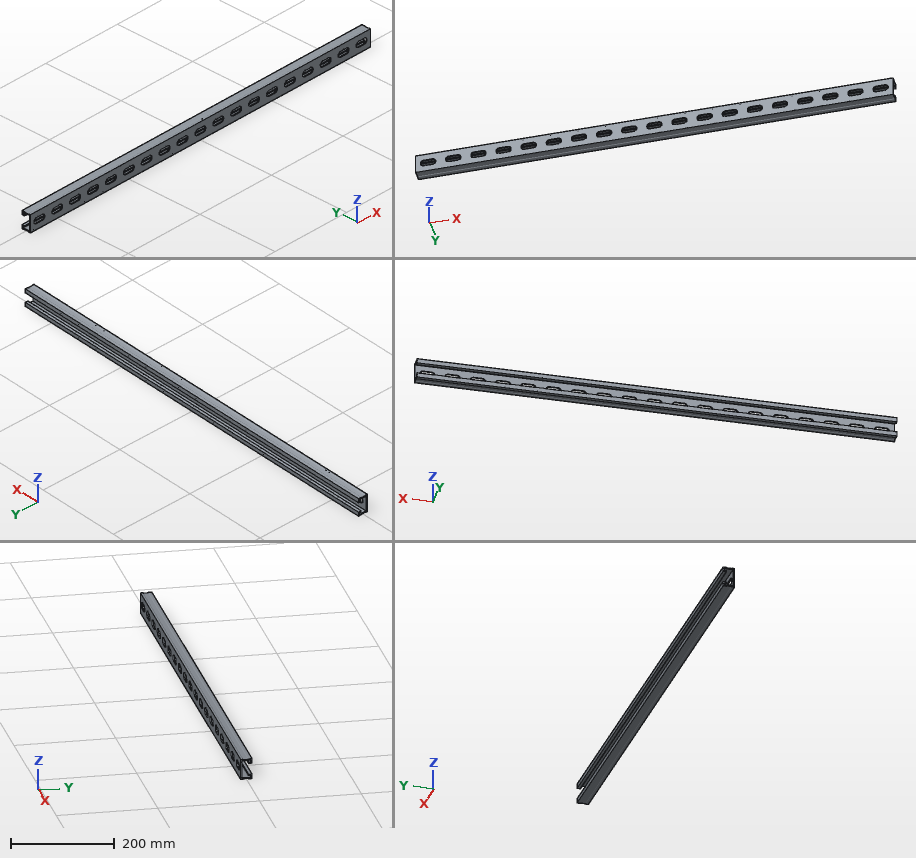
import math

import cadquery as cq

length = 950.0
depth = 22.79
height = 41.3
thickness = 2.65

lip_opening = 22.3
lip_return = 7.0

groove_start = 3.83
groove_end = 16.67
groove_depth = 0.87
bend_angle = math.radians(39)
bend_inner_radius = 0.1
bend_outer_radius = bend_inner_radius + thickness

slot_pitch = 50.0
slot_count = int(length / slot_pitch)
slot_length = 30.0
slot_width = 13.5

flange_top = height / 2
flange_underside = flange_top - thickness

wall_run = (
    (bend_outer_radius + bend_inner_radius) * math.tan(bend_angle / 2)
    + groove_depth / math.tan(bend_angle)
)


def groove_wall(edge_y, inward, upper_radius, lower_radius):
    """Groove wall as two arcs of (Y, Z) points, from the flange edge down to the groove floor.

    inward is +1 or -1, the Y direction from the edge at edge_y to the middle of the groove.
    """
    upper_y = edge_y
    upper_z = flange_top - bend_outer_radius
    lower_y = edge_y + inward * wall_run
    lower_z = flange_top - groove_depth + bend_inner_radius

    def upper_point(angle):
        return (
            upper_y + inward * upper_radius * math.sin(angle),
            upper_z + upper_radius * math.cos(angle),
        )

    def lower_point(angle):
        return (
            lower_y - inward * lower_radius * math.sin(angle),
            lower_z - lower_radius * math.cos(angle),
        )

    upper_arc = [upper_point(0), upper_point(bend_angle / 2), upper_point(bend_angle)]
    lower_arc = [lower_point(bend_angle), lower_point(bend_angle / 2), lower_point(0)]
    return [upper_arc, lower_arc]


def groove_arcs(upper_radius, lower_radius):
    """The four bends of one flange surface, in order from the web to the lip."""
    near_wall = groove_wall(groove_start, 1, upper_radius, lower_radius)
    far_wall = groove_wall(groove_end, -1, upper_radius, lower_radius)
    far_wall_outwards = [arc[::-1] for arc in reversed(far_wall)]
    return near_wall + far_wall_outwards


def add_arcs(path, arcs):
    """Continue the path through the arcs, joined by straight lines."""
    for start, middle, end in arcs:
        path = path.lineTo(*start).threePointArc(middle, end)
    return path


def half_channel():
    """Upper half of the channel; the outer face of the web lies at Y = 0."""
    lip_edge = lip_opening / 2
    lip_inner_edge = lip_edge + thickness
    lip_inner_face = depth - thickness
    return_end = depth - lip_return

    top_arcs = groove_arcs(bend_outer_radius, bend_inner_radius)
    underside_arcs = groove_arcs(bend_inner_radius, bend_outer_radius)
    underside_arcs_to_web = [arc[::-1] for arc in reversed(underside_arcs)]

    path = cq.Workplane("YZ", origin=(-length / 2, 0, 0)).lineTo(0, flange_top)
    path = add_arcs(path, top_arcs)
    path = (
        path.lineTo(depth, flange_top)
        .lineTo(depth, lip_edge)
        .lineTo(return_end, lip_edge)
        .lineTo(return_end, lip_inner_edge)
        .lineTo(lip_inner_face, lip_inner_edge)
        .lineTo(lip_inner_face, flange_underside)
    )
    path = add_arcs(path, underside_arcs_to_web)
    path = path.lineTo(thickness, flange_underside).lineTo(thickness, 0).close()
    return path.extrude(length)


def web_slots():
    """Row of round-ended cutters that pass through the web."""
    return (
        cq.Workplane("XZ")
        .rarray(slot_pitch, 1, slot_count, 1)
        .slot2D(slot_length, slot_width)
        .extrude(-thickness)
    )


upper_half = half_channel()
channel = upper_half.union(upper_half.mirror("XY")).clean()
result = channel.cut(web_slots())